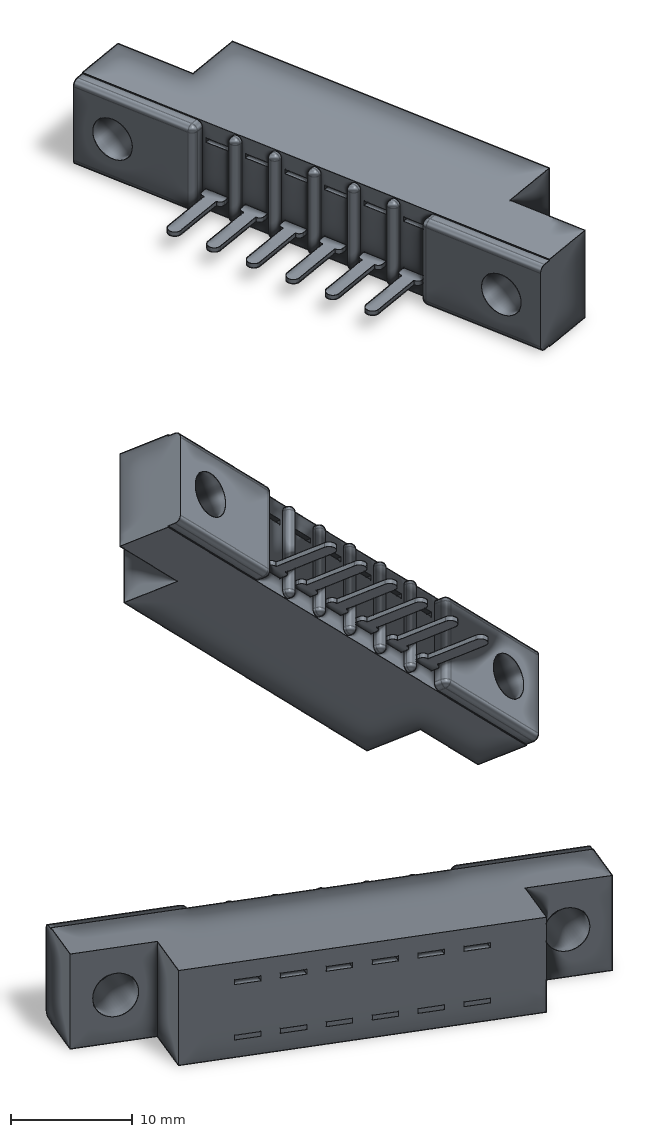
import cadquery as cq


total_length = 46.79
total_depth = 17.42
thickness = 8.71

pin_count = 6
pin_pitch = 3.96
row_spacing = 5.08

nose_length = 31.75
nose_depth = 5.64
body_depth = 10.73
mount_hole_spacing = 38.94
mount_hole_diameter = 3.96

pad_length = 12.03
pad_height = 1.29
pad_inset = 0.11
pad_fillet = 0.57
rib_width = 1.03
rib_height = 0.76

slot_width = 2.27
slot_height = 0.43
shoulder_height = 1.0
shoulder_radius = 0.45
stem_width = 1.24

floor_y = -body_depth
tip_y = -total_depth
row_z = row_spacing / 2
raised_thickness = thickness - 2 * pad_inset
pin_xs = [(i - (pin_count - 1) / 2) * pin_pitch for i in range(pin_count)]
rib_xs = [x + pin_pitch / 2 for x in pin_xs[:-1]]
side_signs = (-1, 1)


def make_block(length, depth, height, y_start):
    """Box centred on X and Z that runs from y_start toward -Y."""
    return (
        cq.Workplane("XY")
        .box(length, depth, height)
        .translate((0, y_start - depth / 2, 0))
    )


def make_pad(side):
    """Raised pad on one ear, rounded on every front and inner edge but square at the outer end."""
    pad = make_block(pad_length, pad_height, raised_thickness, floor_y)
    pad = pad.translate((side * (total_length - pad_length) / 2, 0, 0))
    inner_face = "<X" if side > 0 else ">X"
    long_edges = pad.faces("<Y").edges("|X")
    inner_edges = pad.faces(inner_face).edges("not >Y")
    return pad.newObject(long_edges.vals() + inner_edges.vals()).fillet(pad_fillet)


def make_rib(x):
    """Upright rib between two pins: a rod with ball ends, backed by a straight-sided web."""
    radius = rib_width / 2
    rod_y = floor_y - rib_height + radius
    rod_length = raised_thickness - rib_width
    web = (
        cq.Workplane("XZ", origin=(x, floor_y, 0))
        .slot2D(raised_thickness, rib_width, angle=90)
        .extrude(rib_height - radius)
    )
    rod = cq.Workplane("XY", origin=(x, rod_y, -rod_length / 2)).circle(radius).extrude(rod_length)
    rib = web.union(rod)
    for end in side_signs:
        ball = cq.Workplane("XY").sphere(radius).translate((x, rod_y, end * rod_length / 2))
        rib = rib.union(ball)
    return rib


def make_housing():
    nose = make_block(nose_length, body_depth, thickness, 0)
    ears = make_block(total_length, body_depth - nose_depth, thickness, -nose_depth)
    housing = nose.union(ears)
    for side in side_signs:
        housing = housing.union(make_pad(side))
    for x in rib_xs:
        housing = housing.union(make_rib(x))

    mount_holes = (
        cq.Workplane("XZ")
        .pushPoints([(side * mount_hole_spacing / 2, 0) for side in side_signs])
        .circle(mount_hole_diameter / 2)
        .extrude(total_depth)
    )
    contact_slots = (
        cq.Workplane("XZ")
        .pushPoints([(x, side * row_z) for x in pin_xs for side in side_signs])
        .rect(slot_width, slot_height)
        .extrude(body_depth)
    )
    return housing.cut(mount_holes).cut(contact_slots)


def make_pin(x):
    """Flat pin that fills its slot, with rounded shoulders and a round-tipped stem."""
    shoulder_y = floor_y - shoulder_height
    blade = (
        make_block(slot_width, -shoulder_y, slot_height, 0)
        .faces("<Y")
        .edges("|Z")
        .fillet(shoulder_radius)
    )
    tip_radius = stem_width / 2
    stem = (
        cq.Workplane("XY", origin=(0, 0, -slot_height / 2))
        .moveTo(-tip_radius, floor_y)
        .lineTo(-tip_radius, tip_y + tip_radius)
        .threePointArc((0, tip_y), (tip_radius, tip_y + tip_radius))
        .lineTo(tip_radius, floor_y)
        .close()
        .extrude(slot_height)
    )
    return blade.union(stem).translate((x, 0, -row_z))


housing = make_housing()
pins = [make_pin(x) for x in pin_xs]

result = cq.Compound.makeCompound([housing.val(), *[pin.val() for pin in pins]])